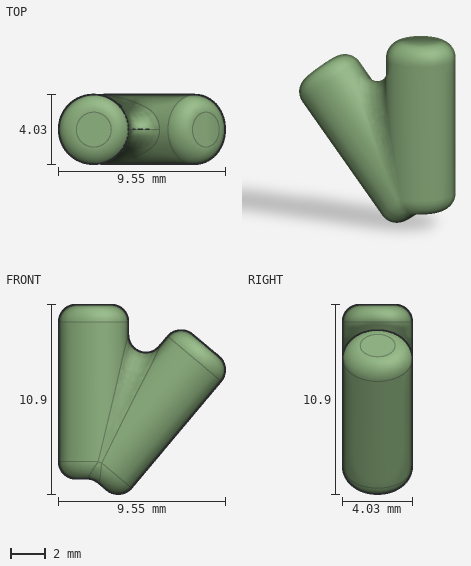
import cadquery as cq

PIN_DIAMETER = 4.0
PIN_LENGTH = 10.0
TILT_ANGLE = 40
ROUND_RADIUS = PIN_DIAMETER / 4


def plain_pin():
    """Upright cylinder standing on the origin."""
    return cq.Workplane("XY").circle(PIN_DIAMETER / 2).extrude(PIN_LENGTH)


upright_pin = plain_pin()
leaning_pin = plain_pin().rotate((0, 0, 0), (0, 1, 0), TILT_ANGLE)

result = upright_pin.union(leaning_pin).edges().fillet(ROUND_RADIUS)